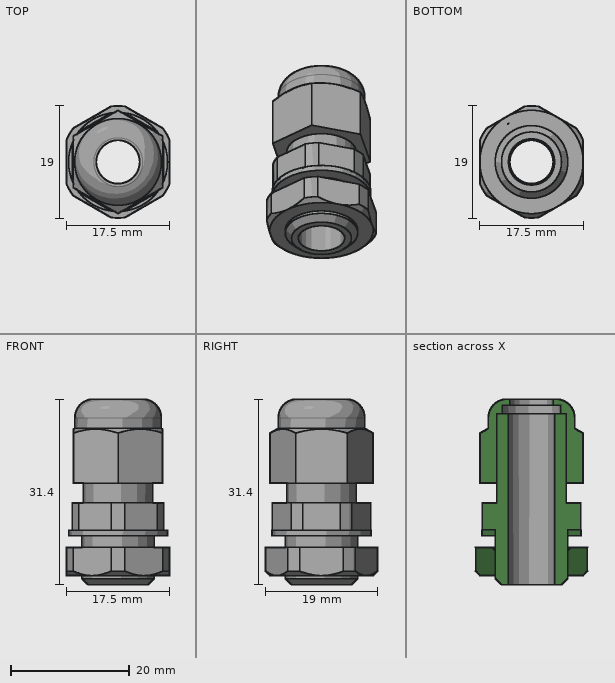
import cadquery as cq
import math


THREAD_CHAMFER = 1.07
NUT_BOTTOM = 1.57
NUT_TOP = 6.35
WASHER_BOTTOM = 8.3
WASHER_TOP = 9.28
BODY_HEX_TOP = 13.87
CAP_BOTTOM = 17.25
CAP_HEX_TOP = 26.48
NECK_TOP = 28.95
CAP_RECESS_TOP = 30.38
CAP_TOP = 31.45

BODY_BORE_DIA = 7.83
THREAD_DIA = 12.3
NECK_DIA = 11.8
WASHER_DIA = 16.75
NUT_CORNER_DIA = 19.0
DOME_DIA = 14.7
CAP_HOLE_DIA = 7.3
CAP_RECESS_DIA = 9.88

BODY_HEX_FLATS = 15.55
NUT_FLATS = 17.5
CAP_FLATS = 15.13

NUT_COUNTERSINK = 0.55
DOME_ROUND = 3.2
CAP_CHAMFER_ANGLE = 30.0
HEX_CORNER_ANGLE = 30.0


def cylinder(diameter, bottom, top):
    return cq.Workplane("XY").workplane(offset=bottom).circle(diameter / 2).extrude(top - bottom)


def hexagon(across_flats, bottom, top):
    corner_dia = across_flats / math.cos(math.radians(30))
    prism = cq.Workplane("XY").workplane(offset=bottom).polygon(6, corner_dia).extrude(top - bottom)
    return prism.rotate((0, 0, 0), (0, 0, 1), HEX_CORNER_ANGLE)


def make_body():
    """Hollow body: chamfered thread, hexagon with turned corners, and neck inside the cap."""
    thread = cylinder(THREAD_DIA, 0, WASHER_TOP).faces("<Z").chamfer(THREAD_CHAMFER)
    hex_section = hexagon(BODY_HEX_FLATS, WASHER_TOP, BODY_HEX_TOP)
    hex_section = hex_section.intersect(cylinder(WASHER_DIA, WASHER_TOP, BODY_HEX_TOP))
    neck = cylinder(NECK_DIA, BODY_HEX_TOP, NECK_TOP)
    bore = cylinder(BODY_BORE_DIA, 0, NECK_TOP)
    return thread.union(hex_section).union(neck).cut(bore)


def make_washer():
    """Sealing washer around the thread, under the body hexagon."""
    ring = cylinder(WASHER_DIA, WASHER_BOTTOM, WASHER_TOP)
    return ring.cut(cylinder(THREAD_DIA, WASHER_BOTTOM, WASHER_TOP))


def make_lock_nut():
    """Hexagon nut with turned corners, chamfered outside below and countersunk above."""
    chamfer = (NUT_CORNER_DIA - NUT_FLATS) / 2
    blank = cylinder(NUT_CORNER_DIA, NUT_BOTTOM, NUT_TOP).faces("<Z").chamfer(chamfer)
    nut = hexagon(NUT_FLATS, NUT_BOTTOM, NUT_TOP).intersect(blank)
    nut = nut.cut(cylinder(THREAD_DIA, NUT_BOTTOM, NUT_TOP))
    rim_radius = THREAD_DIA / 2 + NUT_COUNTERSINK
    countersink = cq.Solid.makeCone(
        THREAD_DIA / 2,
        rim_radius,
        NUT_COUNTERSINK,
        pnt=cq.Vector(0, 0, NUT_TOP - NUT_COUNTERSINK),
    )
    return nut.cut(cq.Workplane(countersink))


def make_cap():
    """Domed cap nut: hexagon with a conical top, dome above it, and a stepped bore."""
    corner_radius = CAP_FLATS / 2 / math.cos(math.radians(30))
    chamfer_width = corner_radius - DOME_DIA / 2
    chamfer_drop = chamfer_width * math.tan(math.radians(CAP_CHAMFER_ANGLE))
    blank = cylinder(2 * corner_radius, CAP_BOTTOM, CAP_HEX_TOP)
    blank = blank.faces(">Z").edges().chamfer(chamfer_drop, chamfer_width)
    hex_section = hexagon(CAP_FLATS, CAP_BOTTOM, CAP_HEX_TOP).intersect(blank)

    dome = cylinder(DOME_DIA, CAP_BOTTOM, CAP_TOP).faces(">Z").edges().fillet(DOME_ROUND)
    neck_bore = cylinder(NECK_DIA, CAP_BOTTOM, NECK_TOP)
    recess = cylinder(CAP_RECESS_DIA, NECK_TOP, CAP_RECESS_TOP)
    cable_hole = cylinder(CAP_HOLE_DIA, CAP_RECESS_TOP, CAP_TOP)
    return hex_section.union(dome).cut(neck_bore).cut(recess).cut(cable_hole)


body = make_body()
washer = make_washer()
lock_nut = make_lock_nut()
cap = make_cap()

result = cq.Compound.makeCompound([
    body.solids().val(),
    washer.solids().val(),
    lock_nut.solids().val(),
    cap.solids().val(),
])